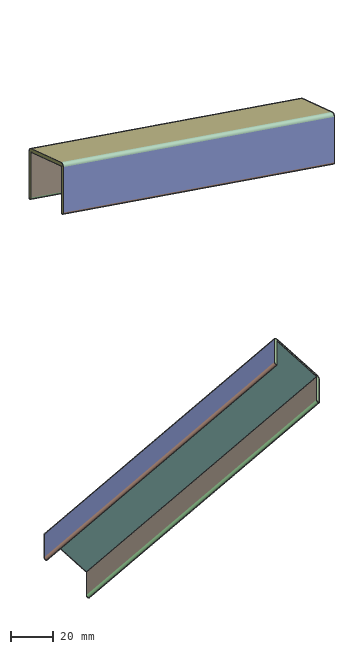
import cadquery as cq

length = 152.4
width = 30.5
height = 25.5

wall = 1.8
outer_corner_radius = 2.0
tip_radius = wall / 2


def block(block_width, top, bottom):
    """Full-length block centred on the X and Y axes between two heights."""
    return (
        cq.Workplane("XY")
        .workplane(offset=bottom)
        .rect(block_width, length)
        .extrude(top - bottom)
    )


def leg_tip(x):
    """Lengthwise cylinder that rounds the lower edge of the leg centred at x."""
    return (
        cq.Workplane("XZ", origin=(x, length / 2, 0))
        .center(0, tip_radius)
        .circle(tip_radius)
        .extrude(length)
    )


shell = block(width, height, tip_radius).edges("|Y and >Z").fillet(outer_corner_radius)
channel = shell.cut(block(width - 2 * wall, height - wall, 0))

leg_centre = (width - wall) / 2
for side in (-1, 1):
    channel = channel.union(leg_tip(side * leg_centre))

result = channel